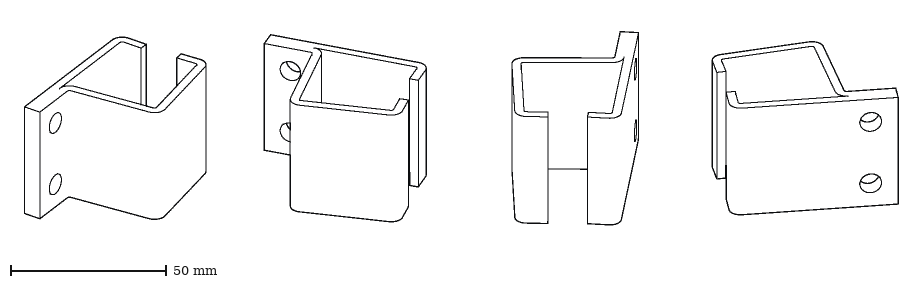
import cadquery as cq
import math

length = 56.25
height = 40.0
sheet = 3.0
inside_radius = 0.8
outside_radius = inside_radius + sheet

tall_flat = 50.7
tall_lip = 6.85

shelf_flat = 28.5
side_flat = 29.35
hook_lip = 7.05

shelf_heading = 6
side_heading = 98
hook_heading = 184

shelf_angle = math.radians(shelf_heading)
shelf_rise = shelf_flat * math.sin(shelf_angle)
side_rise = side_flat * math.sin(math.radians(side_heading))
bends_rise = (outside_radius + inside_radius) * math.cos(shelf_angle) + outside_radius
joined_flat = length - shelf_rise - side_rise - bends_rise

hole_diameter = 7.0
hole_from_end = 8.95
hole_from_edge = 8.5


def offset_point(point, heading, distance):
    """Point reached by going a distance along a heading in degrees."""
    angle = math.radians(heading)
    return (point[0] + distance * math.cos(angle), point[1] + distance * math.sin(angle))


def bent_strip(start, flats, headings):
    """Extruded strip whose left face starts at the given point and follows the flats and bends."""
    left = start
    right = offset_point(left, headings[0] - 90, sheet)
    left_moves = []
    right_moves = [(None, right)]
    for i, (flat, heading) in enumerate(zip(flats, headings)):
        left = offset_point(left, heading, flat)
        right = offset_point(right, heading, flat)
        left_moves.append((None, left))
        right_moves.append((None, right))
        if i + 1 == len(flats):
            break
        turn = headings[i + 1] - heading
        to_centre = heading + math.copysign(90, turn)
        inner = left if turn > 0 else right
        centre = offset_point(inner, to_centre, inside_radius)
        left_radius = inside_radius if turn > 0 else outside_radius
        right_radius = outside_radius if turn > 0 else inside_radius
        mid_direction = to_centre + 180 + turn / 2
        end_direction = to_centre + 180 + turn
        left_mid = offset_point(centre, mid_direction, left_radius)
        right_mid = offset_point(centre, mid_direction, right_radius)
        left = offset_point(centre, end_direction, left_radius)
        right = offset_point(centre, end_direction, right_radius)
        left_moves.append((left_mid, left))
        right_moves.append((right_mid, right))

    outline = cq.Workplane("XY").moveTo(*start)
    for mid, end in left_moves:
        outline = outline.threePointArc(mid, end) if mid else outline.lineTo(*end)
    outline = outline.lineTo(*right)
    for (mid, _), (_, end) in zip(right_moves[:0:-1], right_moves[-2::-1]):
        outline = outline.threePointArc(mid, end) if mid else outline.lineTo(*end)
    return outline.close().extrude(height)


def mounting_holes():
    """Two cylinders along X through both joined sheets."""
    centres = [(hole_from_end, hole_from_edge), (hole_from_end, height - hole_from_edge)]
    return cq.Workplane("YZ").pushPoints(centres).circle(hole_diameter / 2).extrude(2 * sheet)


tall_strip = bent_strip((0, 0), [tall_flat, tall_lip], [90, 0])
hooked_strip = bent_strip(
    (sheet, 0),
    [joined_flat, shelf_flat, side_flat, hook_lip],
    [90, shelf_heading, side_heading, hook_heading],
)

result = tall_strip.union(hooked_strip).cut(mounting_holes())